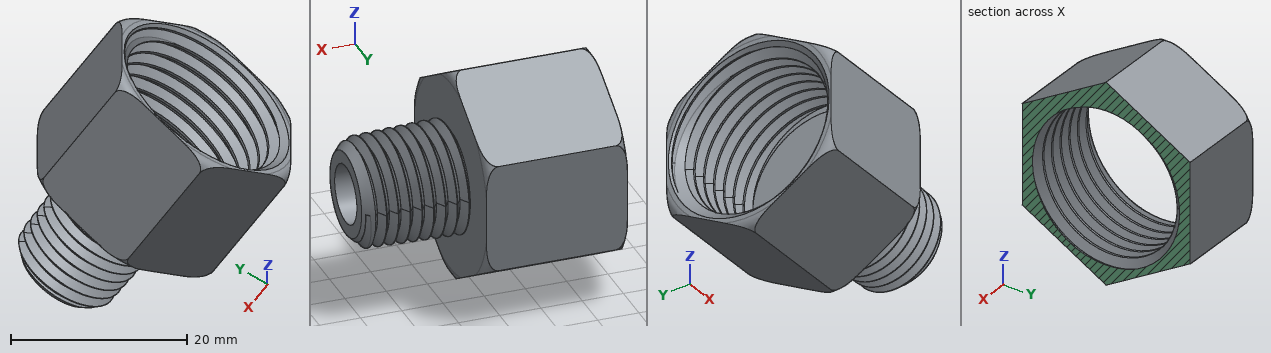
import cadquery as cq
import math

HEX_ACROSS_FLATS = 23.2
HEX_LENGTH = 17.13
HEX_CORNER_ROUND = 1.46

INCH = 25.4
TAPER_SLOPE = 1 / 32
TAPER_ANGLE = math.degrees(math.atan(TAPER_SLOPE))
GROOVE_TURNS = 10
FLANK_SLOPE = math.tan(math.radians(60))

NIPPLE_LENGTH = 12.7
NIPPLE_PITCH = INCH / 18
NIPPLE_CREST_RADIUS = 6.82
NIPPLE_CREST_FLAT = NIPPLE_PITCH / 16
NIPPLE_THREAD_DEPTH = 0.8 * NIPPLE_PITCH
NIPPLE_FIRST_CREST = 0.29
NIPPLE_TIP_RADIUS = 5.12

SOCKET_PITCH = INCH / 14
SOCKET_ROOT_RADIUS = 11.08
SOCKET_ROOT_FLAT = SOCKET_PITCH / 8
SOCKET_THREAD_DEPTH = 0.62 * SOCKET_PITCH
SOCKET_FIRST_ROOT = 0.28
SOCKET_DEPTH = 13.75
SOCKET_CHAMFER_RADIUS = 11.33

BORE_DIAMETER = 7.14
DRILL_POINT_ANGLE = 118

TOTAL_LENGTH = HEX_LENGTH + NIPPLE_LENGTH


def revolve_about_x(profile):
    """Revolve a closed (x, radius) profile about the X axis, with its seam at +Z."""
    return cq.Workplane("XZ").polyline(profile).close().revolve(360, (0, 0, 0), (1, 0, 0))


def taper_radius(base_radius, distance):
    """Radius of a tapered thread at a distance from its large end."""
    return base_radius - TAPER_SLOPE * distance


def groove_turn(corners, pitch):
    """One turn of a tapered helical groove about Z, given its (radius, z) corners."""
    helices = []
    for radius, z in corners:
        helix = cq.Wire.makeHelix(pitch, pitch, radius, angle=-TAPER_ANGLE)
        helices.append(helix.translate(cq.Vector(0, 0, z)))
    next_helices = helices[1:] + helices[:1]

    faces = [cq.Face.makeRuledSurface(near, far) for near, far in zip(helices, next_helices)]
    start_points = [helix.startPoint() for helix in helices]
    end_points = [helix.endPoint() for helix in helices]
    for points in (start_points, end_points):
        faces.append(cq.Face.makeFromWires(cq.Wire.makePolygon(points, close=True)))
    return cq.Solid.makeSolid(cq.Shell.makeShell(faces))


def threaded_cone(crest_radius, length, pitch, crest_flat, depth, first_crest):
    """Right-hand tapered threaded rod on +X, with its large end at X = 0.

    first_crest is the X of the first crest on the +Y side. The groove is cut
    turn by turn, starting beyond the large end.
    """
    rod = revolve_about_x([
        (0, 0),
        (0, crest_radius),
        (length, taper_radius(crest_radius, length)),
        (length, 0),
    ])
    overlap = crest_flat / 4
    mouth_half = (pitch - crest_flat) / 2
    outer_half = mouth_half + overlap / FLANK_SLOPE
    root_half = mouth_half - depth / FLANK_SLOPE

    first_groove = first_crest - 1.5 * pitch
    for turn in range(GROOVE_TURNS):
        groove_start = first_groove + turn * pitch
        surface_radius = taper_radius(crest_radius, groove_start)
        corners = [
            (surface_radius + overlap, groove_start - outer_half),
            (surface_radius + overlap, groove_start + outer_half),
            (surface_radius - depth, groove_start + root_half),
            (surface_radius - depth, groove_start - root_half),
        ]
        groove = cq.Workplane(obj=groove_turn(corners, pitch))
        rod = rod.cut(groove.rotate((0, 0, 0), (1, 1, 1), 120))
    return rod


def hex_body():
    """Hexagonal prism with corners at +Z and -Z, rounded off at both ends."""
    corner_diameter = HEX_ACROSS_FLATS / math.cos(math.radians(30))
    prism = cq.Workplane("YZ").polygon(6, corner_diameter).extrude(HEX_LENGTH)
    prism = prism.rotate((0, 0, 0), (1, 0, 0), 90)
    envelope = cq.Workplane("YZ").circle(corner_diameter / 2).extrude(HEX_LENGTH)
    return prism.intersect(envelope.edges().fillet(HEX_CORNER_ROUND))


def nipple():
    """Male threaded end with a 45 degree tip chamfer."""
    thread = threaded_cone(
        NIPPLE_CREST_RADIUS, NIPPLE_LENGTH, NIPPLE_PITCH,
        NIPPLE_CREST_FLAT, NIPPLE_THREAD_DEPTH, NIPPLE_FIRST_CREST,
    )
    envelope = revolve_about_x([
        (0, 0),
        (0, NIPPLE_TIP_RADIUS + NIPPLE_LENGTH),
        (NIPPLE_LENGTH, NIPPLE_TIP_RADIUS),
        (NIPPLE_LENGTH, 0),
    ])
    return thread.intersect(envelope).translate((HEX_LENGTH, 0, 0))


def socket_cutters():
    """Tapered female thread, its 45 degree mouth chamfer, the drill point and the through bore."""
    thread = threaded_cone(
        SOCKET_ROOT_RADIUS, SOCKET_DEPTH, SOCKET_PITCH,
        SOCKET_ROOT_FLAT, SOCKET_THREAD_DEPTH, SOCKET_FIRST_ROOT,
    )
    chamfer = revolve_about_x([(0, 0), (0, SOCKET_CHAMFER_RADIUS), (SOCKET_CHAMFER_RADIUS, 0)])
    point_radius = taper_radius(SOCKET_ROOT_RADIUS - SOCKET_THREAD_DEPTH, SOCKET_DEPTH)
    point_length = point_radius / math.tan(math.radians(DRILL_POINT_ANGLE / 2))
    drill_point = revolve_about_x([
        (SOCKET_DEPTH, 0),
        (SOCKET_DEPTH, point_radius),
        (SOCKET_DEPTH + point_length, 0),
    ])
    bore = cq.Workplane("YZ").circle(BORE_DIAMETER / 2).extrude(TOTAL_LENGTH)
    return [thread, chamfer, drill_point, bore]


body = hex_body().union(nipple())
for cutter in socket_cutters():
    body = body.cut(cutter)

result = body.solids()